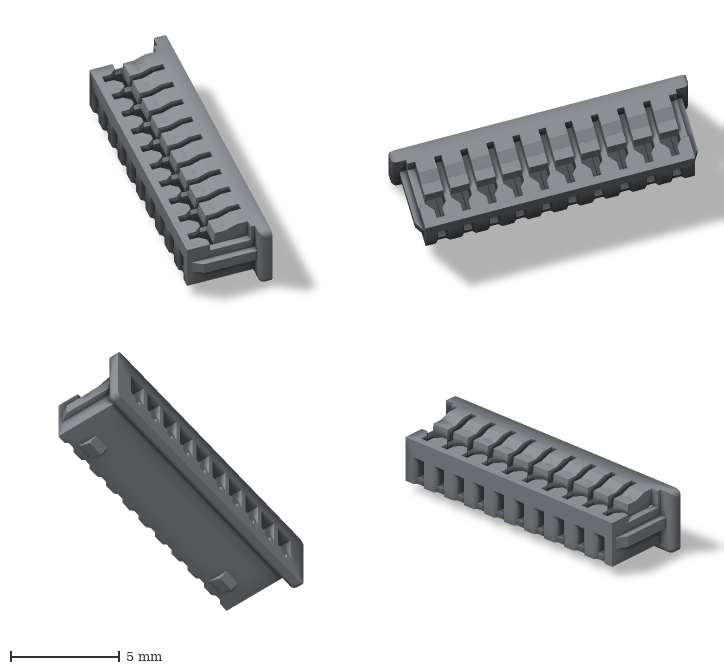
import cadquery as cq

LENGTH = 14.25
DEPTH = 3.95
HEIGHT = 3.2

FLANGE_THICKNESS = 0.61
FLANGE_ROUND = 0.28
FLANGE_FRONT = DEPTH - FLANGE_THICKNESS

BODY_LENGTH = 12.91
BODY_BOTTOM = 0.47
FRONT_BLOCK_TOP = 2.74
FRONT_BLOCK_BACK = 1.13

CONTACTS = 10
CONTACT_SPAN = 11.26
PITCH = CONTACT_SPAN / (CONTACTS - 1)
CONTACT_XS = [(i - (CONTACTS - 1) / 2) * PITCH for i in range(CONTACTS)]

LATCH_WIDTH = 0.9
LATCH_BOTTOM = 2.35
LATCH_ROOT = 3.14
LATCH_SLOPE_BACK = 2.58
LATCH_SLOPE_FRONT = 2.02
LATCH_TIP_TOP = 1.51
LATCH_TIP_BOTTOM = 1.44
LATCH_STEP_HEIGHT = 2.99

CAVITY_WIDTH = 0.97
CAVITY_FLOOR = 1.07
CHANNEL_WIDTH = 0.4
CHANNEL_FLOOR = 0.77
CHANNEL_FRONT = 0.37
TAPER_FRONT = 0.78

WINDOW_TOP = 1.7
FLARE_WIDTH = 0.67
FLARE_TOP = 1.85
FLARE_DEPTH = 0.14

RAIL_PROJECTION = 0.31
RAIL_BOTTOM = 1.33
RAIL_TOP = 1.88
RAIL_FRONT = 0.21
RAIL_BEVEL_BACK = 0.73

BUMP_WIDTH = 0.85
BUMP_OFFSET = 5.0
BUMP_BACK = 1.42
BUMP_PEAK = 1.04
BUMP_FRONT = 0.35
BUMP_TIP = 0.21


def block(x_min, x_max, y_min, y_max, z_min, z_max):
    """Axis-aligned box between the given limits."""
    size = (x_max - x_min, y_max - y_min, z_max - z_min)
    return cq.Workplane("XY").box(*size, centered=False).translate((x_min, y_min, z_min))


def centred_block(x_centre, width, y_min, y_max, z_min, z_max):
    """Axis-aligned box of the given width about an X position."""
    return block(x_centre - width / 2, x_centre + width / 2, y_min, y_max, z_min, z_max)


def side_profile(points, x_centre, width):
    """Prism with a Y-Z outline, of the given width about an X position."""
    return cq.Workplane("YZ", origin=(x_centre - width / 2, 0, 0)).polyline(points).close().extrude(width)


def make_flange():
    """Rear plate with rounded corners; the front rim is rounded except along the flat top."""
    plate = centred_block(0, LENGTH, FLANGE_FRONT, DEPTH, 0, HEIGHT)
    plate = plate.edges("|Y and <Z").fillet(FLANGE_ROUND)
    plate = plate.faces("<Y").edges("not >Z").fillet(FLANGE_ROUND)
    corner_trim = centred_block(0, LENGTH, FLANGE_FRONT, DEPTH, 0, HEIGHT)
    corner_trim = corner_trim.edges("|Y and >Z").fillet(FLANGE_ROUND)
    return plate.intersect(corner_trim)


def make_body():
    """Solid body with the low ledge behind the front block."""
    outline = [
        (0, BODY_BOTTOM),
        (0, FRONT_BLOCK_TOP),
        (FRONT_BLOCK_BACK, FRONT_BLOCK_TOP),
        (FRONT_BLOCK_BACK, LATCH_BOTTOM),
        (LATCH_ROOT, LATCH_BOTTOM),
        (LATCH_ROOT, HEIGHT),
        (FLANGE_FRONT, HEIGHT),
        (FLANGE_FRONT, BODY_BOTTOM),
    ]
    return side_profile(outline, 0, BODY_LENGTH)


def make_rail(side):
    """End rail (side is -1 or 1) with a bevelled front end."""
    wall = side * BODY_LENGTH / 2
    outer = side * (BODY_LENGTH / 2 + RAIL_PROJECTION)
    outline = [
        (0, RAIL_FRONT),
        (wall, RAIL_FRONT),
        (outer, RAIL_BEVEL_BACK),
        (outer, FLANGE_FRONT),
        (0, FLANGE_FRONT),
    ]
    rail = cq.Workplane("XY", origin=(0, 0, RAIL_BOTTOM)).polyline(outline).close()
    return rail.extrude(RAIL_TOP - RAIL_BOTTOM)


def make_bump(x_centre):
    """Triangular locking bump under the body."""
    outline = [(BUMP_BACK, BODY_BOTTOM), (BUMP_PEAK, BUMP_TIP), (BUMP_FRONT, BODY_BOTTOM)]
    return side_profile(outline, x_centre, BUMP_WIDTH)


def make_latch(x_centre):
    """Latch tongue sloping down to a lower tip."""
    outline = [
        (LATCH_ROOT, LATCH_BOTTOM),
        (LATCH_ROOT, HEIGHT),
        (LATCH_SLOPE_BACK, HEIGHT),
        (LATCH_SLOPE_FRONT, LATCH_STEP_HEIGHT),
        (LATCH_TIP_TOP, LATCH_STEP_HEIGHT),
        (LATCH_TIP_BOTTOM, LATCH_BOTTOM),
    ]
    return side_profile(outline, x_centre, LATCH_WIDTH)


def make_cavity(x_centre):
    """Contact cavity open to the rear, narrowing at the front, with its floor channel."""
    cavity = centred_block(x_centre, CAVITY_WIDTH, FRONT_BLOCK_BACK, DEPTH, CAVITY_FLOOR, LATCH_BOTTOM)
    half_cavity = CAVITY_WIDTH / 2
    half_channel = CHANNEL_WIDTH / 2
    taper = (
        cq.Workplane("XY", origin=(x_centre, 0, CAVITY_FLOOR))
        .moveTo(-half_cavity, FRONT_BLOCK_BACK)
        .lineTo(-half_channel, TAPER_FRONT)
        .lineTo(half_channel, TAPER_FRONT)
        .lineTo(half_cavity, FRONT_BLOCK_BACK)
        .close()
        .extrude(FRONT_BLOCK_TOP - CAVITY_FLOOR)
    )
    channel = centred_block(x_centre, CHANNEL_WIDTH, CHANNEL_FRONT, DEPTH, CHANNEL_FLOOR, LATCH_BOTTOM)
    top_slot = centred_block(
        x_centre, CHANNEL_WIDTH, CHANNEL_FRONT, FRONT_BLOCK_BACK, LATCH_BOTTOM, FRONT_BLOCK_TOP
    )
    return cavity.union(taper).union(channel).union(top_slot)


def make_window(x_centre):
    """Front window: a flared mouth open at the bottom, then a straight passage to the cavity."""
    mouth_height = FLARE_TOP - BODY_BOTTOM
    throat_height = WINDOW_TOP - BODY_BOTTOM
    flare = (
        cq.Workplane("XZ", origin=(x_centre, 0, BODY_BOTTOM))
        .center(0, mouth_height / 2)
        .rect(FLARE_WIDTH, mouth_height)
        .workplane(offset=-FLARE_DEPTH)
        .center(0, (throat_height - mouth_height) / 2)
        .rect(CHANNEL_WIDTH, throat_height)
        .loft(ruled=True)
    )
    passage = centred_block(x_centre, CHANNEL_WIDTH, FLARE_DEPTH, CHANNEL_FRONT, CHANNEL_FLOOR, WINDOW_TOP)
    return flare.union(passage)


result = make_flange().union(make_body())
for side in (-1, 1):
    result = result.union(make_rail(side))
    result = result.union(make_bump(side * BUMP_OFFSET))
for x in CONTACT_XS:
    result = result.cut(make_cavity(x)).cut(make_window(x))
for x in CONTACT_XS:
    result = result.union(make_latch(x))